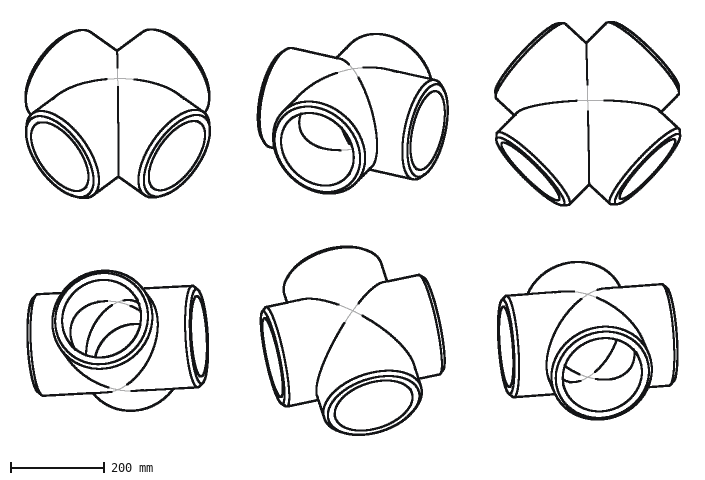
import cadquery as cq

length = 355.5
outer_diameter = 219.0
bore_diameter = 172.8
face_diameter = 203.5
bevel_length = 8.5

outer_radius = outer_diameter / 2
face_radius = face_diameter / 2
half_length = length / 2
bevel_start = half_length - bevel_length


def beveled_bar():
    """Solid bar along X with both ends beveled, revolved about its axis."""
    profile = [
        (-half_length, 0),
        (-half_length, face_radius),
        (-bevel_start, outer_radius),
        (bevel_start, outer_radius),
        (half_length, face_radius),
        (half_length, 0),
    ]
    return cq.Workplane("XY").polyline(profile).close().revolve(360, (0, 0, 0), (1, 0, 0))


def bore():
    """Cylinder along X that opens a pipe from end to end."""
    return cq.Workplane("YZ").circle(bore_diameter / 2).extrude(half_length, both=True)


def turned_to_y(shape):
    """Copy of a shape along X, turned to lie along Y."""
    return shape.rotate((0, 0, 0), (0, 0, 1), 90)


bar_x = beveled_bar()
bore_x = bore()

body = bar_x.union(turned_to_y(bar_x))
result = body.cut(bore_x).cut(turned_to_y(bore_x))